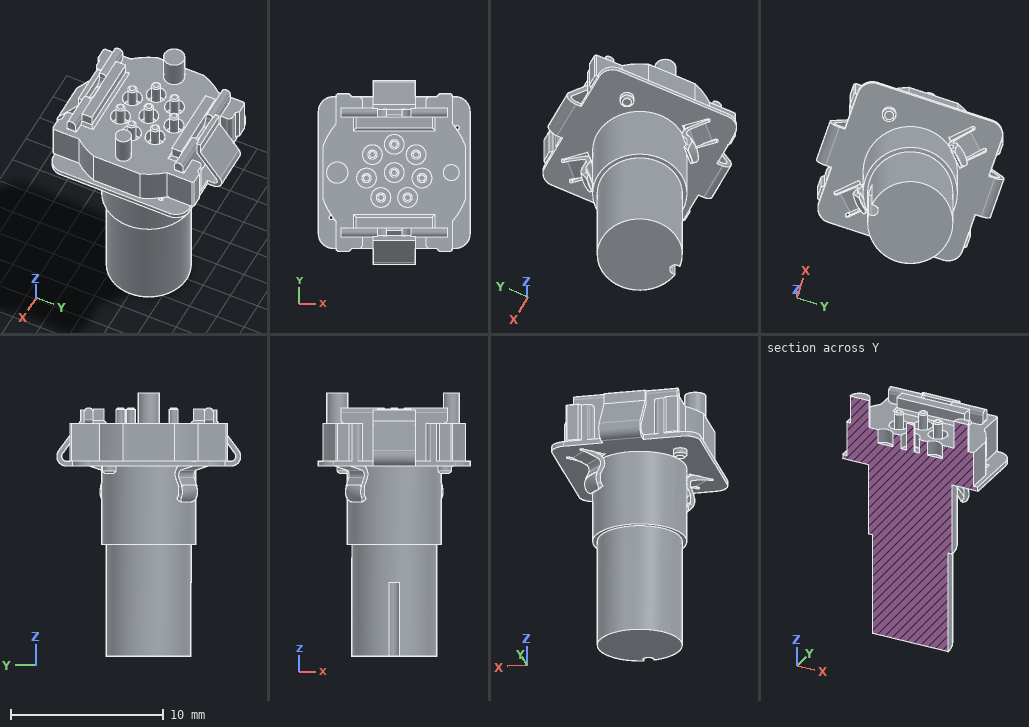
import cadquery as cq
import math


PLATE_SIDE = 10.0
PLATE_THICK = 0.33
PLATE_CORNER_R = 1.0

BARREL_R = 3.1
BARREL_STEP_Z = -5.15
NOSE_R = 2.8
NOSE_END_Z = -12.5
KEYWAY_WIDTH = 0.7
KEYWAY_TOP_Z = -7.65
KEYWAY_FLOOR_Y = -2.25

BODY_TOP_Z = 2.82
BODY_HALF_X = 4.7
BODY_ROUND_R = 5.0
HORN_OUTER_X = 3.82
HORN_END_Y = 5.19
HORN_SHOULDER_Y = 5.0
HORN_CHAMFER = 0.1
HORN_RAMP_X = 2.97
RECESS_HALF_X = 2.08
RECESS_CORNER_R = 0.3
RECESS_BACK_Y = 4.25

RAIL_HALF_X = 3.5
RAIL_WIDTH = 0.6
RAIL_TOP_Z = 3.84
RAIL_END_R = 0.25
RAIL_GAP_HALF_X = 1.1
RAIL_GAP_FLOOR_HALF_X = 0.54
CATCH_HALF_X = 0.5
CATCH_PEAK_Y = 3.8
CATCH_HEIGHT = 0.45
RIDGE_HALF_X = 2.5
RIDGE_INNER_Y = 2.94
RIDGE_TOP_Z = 3.77
RIDGE_FLARE = 0.19

CLIP_WIDTH = 2.77
CLIP_TIP_Y = 6.05
CLIP_BEND_R = 0.65
CLIP_TAB_Y = 4.48
CLIP_TAB_BOTTOM_Z = 2.98
CLIP_TAB_TOP_Z = 3.7

POST_TOP_Z = 4.82
POST_X = 3.75
LARGE_POST_R = 0.7
SMALL_POST_R = 0.525
CONTACT_CIRCLE_R = 1.86
RING_CONTACTS = 7
CONTACT_PITCH_DEG = 50.6
CONTACT_R = 0.3
CONTACT_CHAMFER = 0.1
CONTACT_TOP_Z = 3.82
CAVITY_R = 0.65
CAVITY_DEPTH = 1.0

FINGER_WIDTH = 1.42
FINGER_ROOT_R = 5.0
FINGER_BEND_R = 4.77
FINGER_TIP_Z = -2.37
FINGER_TIP_CORNER_R = 0.35
CROWN_AXIS_R = 1.4
CROWN_TOP_Z = -1.22
CROWN_BASE_R = 3.5
KNEE_OUTER_ARC = ((3.68, -0.27), (3.5, -0.48), (3.52, -0.75))
TIP_OUTER_ARC = ((3.75, -1.24), (3.75, -1.77), (3.5, FINGER_TIP_Z))
TIP_INNER_ARC = ((3.3, -2.15), (3.54, -1.7), (3.45, -1.24))
KNEE_INNER_ARC = ((3.2, -0.75), (3.2, -0.32), (3.5, 0.03))
CROWN_ARC = ((3.8, CROWN_TOP_Z), (3.94, -1.7), (3.55, FINGER_TIP_Z))
FINGER_ANGLES = (45, 225)
WINDOW_INNER_R = 3.3
RELIEF_WIDTH = 0.26
RELIEF_REACH = 0.15
STUD_X = 3.32
STUD_Y = 2.6
STUD_R = 0.45
STUD_LENGTH = 0.48
STUD_CHAMFER = 0.16


def cylinder(radius, bottom_z, top_z, x=0.0, y=0.0):
    return cq.Workplane("XY", origin=(x, y, bottom_z)).circle(radius).extrude(top_z - bottom_z)


def block(x_range, y_range, z_range):
    size = [high - low for low, high in (x_range, y_range, z_range)]
    corner = (x_range[0], y_range[0], z_range[0])
    return cq.Workplane("XY").box(*size, centered=False).translate(corner)


def on_both_y_sides(shape):
    return shape.union(shape.mirror("XZ"))


def make_plate():
    plate = cq.Workplane("XY").rect(PLATE_SIDE, PLATE_SIDE).extrude(PLATE_THICK)
    plate = plate.edges("|Z").fillet(PLATE_CORNER_R)
    for angle in FINGER_ANGLES:
        plate = plate.cut(make_finger_window().rotate((0, 0, 0), (0, 0, 1), angle))
    return plate


def make_finger_window():
    """Opening around a finger, with a rounded relief at each side of its root."""
    half_width = FINGER_WIDTH / 2 + RELIEF_WIDTH
    window = block((WINDOW_INNER_R, FINGER_ROOT_R), (-half_width, half_width), (0, PLATE_THICK))
    relief_r = RELIEF_WIDTH / 2
    for side in (-1, 1):
        relief_y = side * (FINGER_WIDTH / 2 + relief_r)
        relief_x = FINGER_ROOT_R + RELIEF_REACH - relief_r
        window = window.union(cylinder(relief_r, 0, PLATE_THICK, relief_x, relief_y))
    return window


def make_finger():
    """Strip bent down from the plate, kneed against the barrel, with a crowned and rounded tip."""
    profile = (
        cq.Workplane("XZ", origin=(0, FINGER_WIDTH / 2, 0))
        .moveTo(FINGER_ROOT_R, PLATE_THICK)
        .lineTo(FINGER_ROOT_R, 0)
        .lineTo(FINGER_BEND_R, 0)
        .lineTo(*KNEE_OUTER_ARC[0])
        .threePointArc(*KNEE_OUTER_ARC[1:])
        .lineTo(*TIP_OUTER_ARC[0])
        .threePointArc(*TIP_OUTER_ARC[1:])
        .lineTo(*TIP_INNER_ARC[0])
        .threePointArc(*TIP_INNER_ARC[1:])
        .lineTo(*KNEE_INNER_ARC[0])
        .threePointArc(*KNEE_INNER_ARC[1:])
        .close()
    )
    strip = profile.extrude(FINGER_WIDTH)

    half_width = FINGER_WIDTH / 2
    outline = block(
        (0, FINGER_ROOT_R),
        (-half_width, half_width),
        (FINGER_TIP_Z, PLATE_THICK),
    )
    outline = outline.edges("|X and <Z").fillet(FINGER_TIP_CORNER_R)

    crown = (
        cq.Workplane("XZ")
        .moveTo(CROWN_AXIS_R, CROWN_TOP_Z)
        .lineTo(*CROWN_ARC[0])
        .threePointArc(*CROWN_ARC[1:])
        .lineTo(CROWN_AXIS_R, FINGER_TIP_Z)
        .close()
        .revolve(360, (CROWN_AXIS_R, 0, 0), (CROWN_AXIS_R, 1, 0))
    )
    outer_half = block(
        (CROWN_BASE_R, FINGER_ROOT_R), (-half_width, half_width), (FINGER_TIP_Z, CROWN_TOP_Z)
    )
    return strip.union(crown.intersect(outer_half)).intersect(outline)


def make_barrel():
    """Stepped cylinder with a round-bottomed keyway on the -Y side."""
    barrel = cylinder(BARREL_R, BARREL_STEP_Z, 0)
    nose = cylinder(NOSE_R, NOSE_END_Z, BARREL_STEP_Z)
    keyway_r = KEYWAY_WIDTH / 2
    keyway_axis_y = KEYWAY_FLOOR_Y - keyway_r
    keyway = block((-keyway_r, keyway_r), (-NOSE_R, keyway_axis_y), (NOSE_END_Z, KEYWAY_TOP_Z))
    keyway = keyway.union(cylinder(keyway_r, NOSE_END_Z, KEYWAY_TOP_Z, y=keyway_axis_y))
    return barrel.union(nose.cut(keyway))


def make_body():
    """Round-sided block with four corner horns and a recess between each pair of horns."""
    flank_y = math.sqrt(BODY_ROUND_R**2 - HORN_OUTER_X**2)
    core = cylinder(BODY_ROUND_R, PLATE_THICK, BODY_TOP_Z).intersect(
        block((-BODY_HALF_X, BODY_HALF_X), (-flank_y, flank_y), (PLATE_THICK, BODY_TOP_Z))
    )

    step = HORN_END_Y - HORN_SHOULDER_Y
    corner_reach = RECESS_CORNER_R * (1 - math.sqrt(0.5))
    horn = (
        cq.Workplane("XY", origin=(0, 0, PLATE_THICK))
        .moveTo(0, flank_y)
        .lineTo(HORN_OUTER_X, flank_y)
        .lineTo(HORN_OUTER_X, HORN_END_Y - HORN_CHAMFER)
        .lineTo(HORN_OUTER_X - HORN_CHAMFER, HORN_END_Y)
        .lineTo(HORN_RAMP_X, HORN_END_Y)
        .lineTo(HORN_RAMP_X - step, HORN_SHOULDER_Y)
        .lineTo(RECESS_HALF_X + RECESS_CORNER_R, HORN_SHOULDER_Y)
        .threePointArc(
            (RECESS_HALF_X + corner_reach, HORN_SHOULDER_Y - corner_reach),
            (RECESS_HALF_X, HORN_SHOULDER_Y - RECESS_CORNER_R),
        )
        .lineTo(RECESS_HALF_X, RECESS_BACK_Y)
        .lineTo(0, RECESS_BACK_Y)
        .close()
        .extrude(BODY_TOP_Z - PLATE_THICK)
    )
    horn_pair = horn.union(horn.mirror("YZ"))
    return core.union(on_both_y_sides(horn_pair))


def make_rail():
    """Round-topped rail flush with the recess wall, parted by a gap with curved ends."""
    top_r = RAIL_WIDTH / 2
    inner_y = RECESS_BACK_Y - RAIL_WIDTH
    rail = block(
        (-RAIL_HALF_X, RAIL_HALF_X), (inner_y, RECESS_BACK_Y), (BODY_TOP_Z, RAIL_TOP_Z - top_r)
    )
    rail = rail.edges("|Y and <Z").fillet(RAIL_END_R)
    round_top = (
        cq.Workplane("YZ", origin=(-RAIL_HALF_X, inner_y + top_r, RAIL_TOP_Z - top_r))
        .circle(top_r)
        .extrude(2 * RAIL_HALF_X)
    )
    rail = rail.union(round_top)

    gap = block(
        (-RAIL_GAP_HALF_X, RAIL_GAP_HALF_X), (inner_y, RECESS_BACK_Y), (BODY_TOP_Z, RAIL_TOP_Z)
    )
    gap = gap.edges("|Y and <Z").fillet(RAIL_GAP_HALF_X - RAIL_GAP_FLOOR_HALF_X)
    return rail.cut(gap).union(make_catch())


def make_catch():
    """Small wedge on the floor of the rail gap, sloping down toward the recess."""
    return (
        cq.Workplane("YZ", origin=(-CATCH_HALF_X, 0, BODY_TOP_Z))
        .moveTo(RECESS_BACK_Y, 0)
        .lineTo(CATCH_PEAK_Y, CATCH_HEIGHT)
        .lineTo(RECESS_BACK_Y - RAIL_WIDTH, 0)
        .close()
        .extrude(2 * CATCH_HALF_X)
    )


def make_ridge():
    """Straight ridge behind the rail with a flared foot on its three free sides."""
    rail_inner_y = RECESS_BACK_Y - RAIL_WIDTH
    ridge = block(
        (-RIDGE_HALF_X, RIDGE_HALF_X), (RIDGE_INNER_Y, rail_inner_y), (BODY_TOP_Z, RIDGE_TOP_Z)
    )
    foot = block(
        (-RIDGE_HALF_X - RIDGE_FLARE, RIDGE_HALF_X + RIDGE_FLARE),
        (RIDGE_INNER_Y - RIDGE_FLARE, rail_inner_y),
        (BODY_TOP_Z - RIDGE_FLARE, BODY_TOP_Z + RIDGE_FLARE),
    )
    foot = foot.faces(">Z").edges("<X or >X or <Y").chamfer(RIDGE_FLARE)
    return ridge.union(foot)


def make_clip():
    """Sheet strip rolled up from the plate edge, sloping in to an upright tab at the rail."""
    center_y = CLIP_TIP_Y - CLIP_BEND_R
    center_z = CLIP_BEND_R
    inner_r = CLIP_BEND_R - PLATE_THICK
    to_tab_y = CLIP_TAB_Y - center_y
    to_tab_z = CLIP_TAB_BOTTOM_Z - center_z
    tab_angle = math.atan2(to_tab_z, to_tab_y)
    slope_angle = tab_angle - math.acos(CLIP_BEND_R / math.hypot(to_tab_y, to_tab_z))
    mid_angle = (slope_angle - math.pi / 2) / 2

    def bend_point(radius, angle):
        return (center_y + radius * math.cos(angle), center_z + radius * math.sin(angle))

    tab_inner_y = CLIP_TAB_Y - PLATE_THICK
    inner_start_y, inner_start_z = bend_point(inner_r, slope_angle)
    inner_rise = (inner_start_y - tab_inner_y) / math.tan(slope_angle)
    root_y = PLATE_SIDE / 2 - PLATE_THICK
    profile = (
        cq.Workplane("YZ", origin=(-CLIP_WIDTH / 2, 0, 0))
        .moveTo(root_y, 0)
        .lineTo(center_y, 0)
        .threePointArc(bend_point(CLIP_BEND_R, mid_angle), bend_point(CLIP_BEND_R, slope_angle))
        .lineTo(CLIP_TAB_Y, CLIP_TAB_BOTTOM_Z)
        .lineTo(CLIP_TAB_Y, CLIP_TAB_TOP_Z)
        .lineTo(tab_inner_y, CLIP_TAB_TOP_Z)
        .lineTo(tab_inner_y, inner_start_z + inner_rise)
        .lineTo(inner_start_y, inner_start_z)
        .threePointArc(bend_point(inner_r, mid_angle), (center_y, PLATE_THICK))
        .lineTo(root_y, PLATE_THICK)
        .close()
    )
    return profile.extrude(CLIP_WIDTH)


def contact_centers():
    centers = [(0.0, 0.0)]
    for index in range(RING_CONTACTS):
        steps_from_top = index - RING_CONTACTS // 2
        angle = math.radians(90 + steps_from_top * CONTACT_PITCH_DEG)
        centers.append((CONTACT_CIRCLE_R * math.cos(angle), CONTACT_CIRCLE_R * math.sin(angle)))
    return centers


def make_stud(x, y):
    stud = cylinder(STUD_R, -STUD_LENGTH, 0, x, y)
    return stud.faces("<Z").chamfer(STUD_CHAMFER)


def build_part():
    part = make_plate().union(make_barrel()).union(make_body())
    part = part.union(on_both_y_sides(make_rail()))
    part = part.union(on_both_y_sides(make_ridge()))
    part = part.union(on_both_y_sides(make_clip()))
    part = part.union(cylinder(LARGE_POST_R, BODY_TOP_Z, POST_TOP_Z, -POST_X))
    part = part.union(cylinder(SMALL_POST_R, BODY_TOP_Z, POST_TOP_Z, POST_X))

    cavity_floor_z = BODY_TOP_Z - CAVITY_DEPTH
    for x, y in contact_centers():
        part = part.cut(cylinder(CAVITY_R, cavity_floor_z, BODY_TOP_Z, x, y))
        contact = cylinder(CONTACT_R, cavity_floor_z, CONTACT_TOP_Z, x, y)
        part = part.union(contact.faces(">Z").chamfer(CONTACT_CHAMFER))

    for angle in FINGER_ANGLES:
        part = part.union(make_finger().rotate((0, 0, 0), (0, 0, 1), angle))
    for side in (-1, 1):
        part = part.union(make_stud(side * STUD_X, -side * STUD_Y))
    return part


result = build_part()